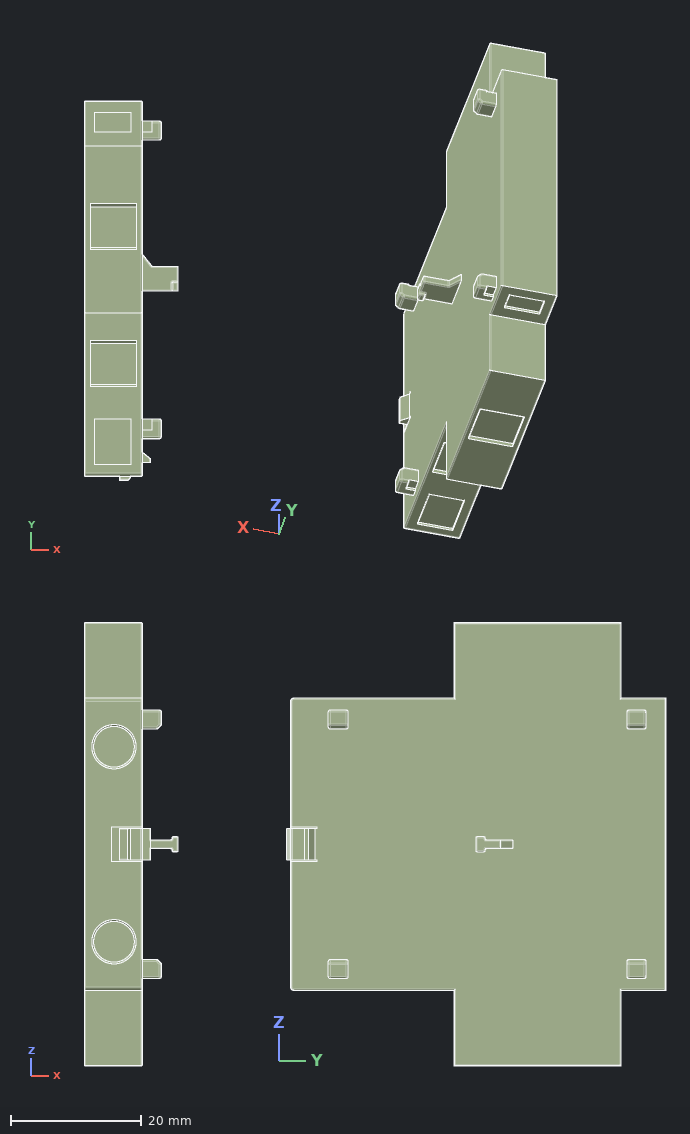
import cadquery as cq

total_height = 68.0
housing_thickness = 8.9
housing_depth = 57.6
shoulder_z = 22.45
tower_front_y = 25.1
tower_back_y = 50.7
side_edge_fillet = 0.2
front_corner_fillet = 0.55

pocket_depth = 0.4
label_pocket_size = 7.0
label_pocket_x = 4.5
label_pocket_front_slope = 0.3
label_pocket_back_slope = 0.5
tower_label_y = 38.35
shoulder_label_y = 17.35
terminal_pocket_width = 5.6
terminal_pocket_x = 4.35
front_terminal_y = (1.85, 8.85)
back_terminal_y = (52.85, 55.8)

screw_x = 4.55
screw_z = 14.95
screw_rim_radius = 3.4
screw_floor_radius = 3.1
screw_recess_depth = 0.4

slot_start_x = 4.2
slot_half_height = 2.65
slot_depth = 4.1
latch_start_x = 5.45
latch_half_height = 2.45
latch_tab_end_x = 7.1
latch_tab_chamfer = 0.4
latch_tab_reach = 0.6
latch_tab_end_fillet = 0.2
latch_tooth_x = 10.1
latch_tooth_front_y = 2.1
latch_tooth_flat = 0.6
latch_tooth_back_y = 3.75

peg_tip_x = 11.8
peg_inner_z = 17.7
peg_outer_z = 20.6
peg_chamfer = 0.6
peg_fillet = 0.35
front_peg_y = (5.8, 8.85)
back_peg_y = (51.6, 54.55)
peg_notch_end_x = 10.4
peg_notch_length = 1.7
peg_notch_depth = 0.4

arm_tip_x = 14.4
arm_front_y = 28.4
arm_back_y = 32.2
arm_half_thickness = 0.7
arm_edge_fillet = 0.2
gusset_width = 1.5
gusset_length = 1.9
head_start_x = 13.45
head_half_height = 1.15
head_back_y = 29.85


def box(x_range, y_range, z_range):
    """Box spanning the given (low, high) ranges."""
    size = [high - low for low, high in (x_range, y_range, z_range)]
    corner = (x_range[0], y_range[0], z_range[0])
    return cq.Workplane("XY").box(*size, centered=False).translate(corner)


def both_ends(shape):
    """The shape together with its mirror image below the mid-plane."""
    return shape.union(shape.mirror("XY"))


def make_housing():
    half_height = total_height / 2
    plate = box((0, housing_thickness), (0, housing_depth), (-shoulder_z, shoulder_z))
    plate = plate.edges("|X and <Y").fillet(front_corner_fillet)
    tower = box((0, housing_thickness), (tower_front_y, tower_back_y), (-half_height, half_height))
    return plate.union(tower).faces("<X or >X").fillet(side_edge_fillet)


def label_pocket(center_y, face_z):
    """Square pocket whose front and back walls slope in towards the floor."""
    half = label_pocket_size / 2
    floor_z = face_z - pocket_depth
    return (
        cq.Workplane("YZ", origin=(label_pocket_x - half, 0, 0))
        .moveTo(center_y - half, face_z)
        .lineTo(center_y - half + label_pocket_front_slope, floor_z)
        .lineTo(center_y + half - label_pocket_back_slope, floor_z)
        .lineTo(center_y + half, face_z)
        .close()
        .extrude(label_pocket_size)
    )


def terminal_pocket(y_range):
    half = terminal_pocket_width / 2
    x_range = (terminal_pocket_x - half, terminal_pocket_x + half)
    return box(x_range, y_range, (shoulder_z - pocket_depth, shoulder_z))


def make_screw_recess():
    return (
        cq.Workplane("XZ", origin=(screw_x, 0, screw_z))
        .circle(screw_rim_radius)
        .workplane(offset=-screw_recess_depth)
        .circle(screw_floor_radius)
        .loft(ruled=True)
    )


def make_latch():
    """Hook with a rounded tab at the front and a tooth past the +X face."""
    latch = (
        cq.Workplane("XY", origin=(0, 0, -latch_half_height))
        .moveTo(latch_start_x, -latch_tab_reach)
        .lineTo(latch_tab_end_x - latch_tab_chamfer, -latch_tab_reach)
        .lineTo(latch_tab_end_x, latch_tab_chamfer - latch_tab_reach)
        .lineTo(latch_tab_end_x, 0)
        .lineTo(housing_thickness - side_edge_fillet, 0)
        .lineTo(housing_thickness, side_edge_fillet)
        .lineTo(housing_thickness, latch_tooth_front_y)
        .lineTo(latch_tooth_x, latch_tooth_front_y)
        .lineTo(latch_tooth_x, latch_tooth_front_y + latch_tooth_flat)
        .lineTo(housing_thickness, latch_tooth_back_y)
        .lineTo(housing_thickness, slot_depth)
        .lineTo(latch_start_x, slot_depth)
        .close()
        .extrude(2 * latch_half_height)
    )
    return latch.faces("<Y").edges("|X").fillet(latch_tab_end_fillet)


def make_peg(y_range):
    """Rounded peg with its inner tip edge bevelled and a notch at the outer back corner."""
    root_x = housing_thickness - side_edge_fillet
    peg = box((root_x, peg_tip_x), y_range, (peg_inner_z, peg_outer_z))
    peg = peg.edges("|Y and <Z and >X").chamfer(peg_chamfer)
    peg = peg.edges("not(<X)").fillet(peg_fillet)
    notch = box(
        (root_x, peg_notch_end_x),
        (y_range[1] - peg_notch_length, y_range[1]),
        (peg_outer_z - peg_notch_depth, peg_outer_z),
    )
    return peg.cut(notch)


def make_drive_arm():
    root_x = housing_thickness - side_edge_fillet
    arm = (
        cq.Workplane("XY", origin=(0, 0, -arm_half_thickness))
        .moveTo(root_x, arm_front_y)
        .lineTo(arm_tip_x, arm_front_y)
        .lineTo(arm_tip_x, arm_back_y)
        .lineTo(housing_thickness + gusset_width, arm_back_y)
        .lineTo(housing_thickness, arm_back_y + gusset_length)
        .lineTo(root_x, arm_back_y + gusset_length)
        .close()
        .extrude(2 * arm_half_thickness)
    )
    head = box(
        (head_start_x, arm_tip_x),
        (arm_front_y, head_back_y),
        (-head_half_height, head_half_height),
    )
    return arm.union(head).edges("not(<X)").fillet(arm_edge_fillet)


result = make_housing()

for recess in (
    label_pocket(tower_label_y, total_height / 2),
    label_pocket(shoulder_label_y, shoulder_z),
    terminal_pocket(front_terminal_y),
    terminal_pocket(back_terminal_y),
    make_screw_recess(),
):
    result = result.cut(both_ends(recess))

result = result.cut(
    box((slot_start_x, housing_thickness), (0, slot_depth), (-slot_half_height, slot_half_height))
)
result = result.union(make_latch())

for peg_y_range in (front_peg_y, back_peg_y):
    result = result.union(both_ends(make_peg(peg_y_range)))

result = result.union(make_drive_arm()).solids()